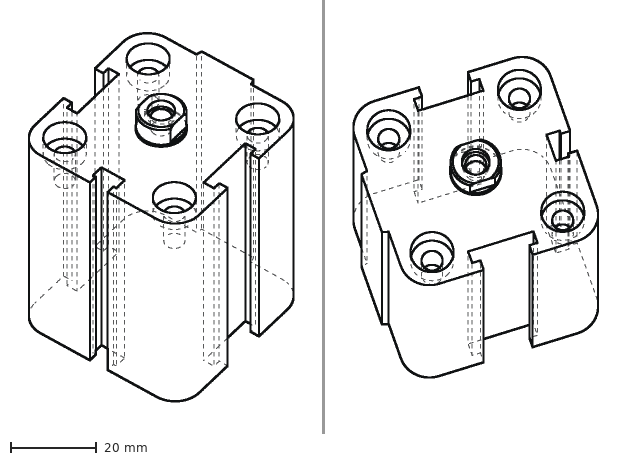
import cadquery as cq

overall_height = 65.5

width = 48.0
housing_height = 59.55
corner_radius = 7.0

rib_base_width = 16.0
rib_top_width = 15.2
rib_rise = 1.5

side_slot_mouth = 12.0
side_slot_inner = 16.0
side_slot_lip = 2.5
front_slot_mouth = 5.2
front_slot_inner = 6.8
front_slot_lip = 2.3
slot_depth = 5.5

mount_spacing = 32.0
counterbore_diameter = 10.0
counterbore_depth = 5.5
mount_hole_diameter = 4.9
mount_hole_depth = 14.5

rod_height = overall_height - housing_height
collar_diameter = 12.0
collar_straight_height = 0.25
collar_taper_height = 0.25
rod_diameter = 11.7
rod_chamfer = 0.5
flat_spacing = 10.0
flat_start = 1.0
rod_recess_diameter = 6.4
rod_recess_depth = 2.0
rod_hole_diameter = 4.9


def make_t_slot(mouth, inner, lip):
    """Full-height T-slot cutter for a slot that opens on the -Y side of the block."""
    outer_y = -width / 2
    throat = cq.Workplane("XY").box(mouth, slot_depth, housing_height, centered=(True, False, False))
    pocket = (
        cq.Workplane("XY")
        .box(inner, slot_depth - lip, housing_height, centered=(True, False, False))
        .translate((0, lip, 0))
    )
    return throat.union(pocket).translate((0, outer_y, 0))


def make_rib():
    """Rib on the +Y side, narrowing from the block to its outer face."""
    face_y = width / 2
    rib_y = face_y + rib_rise
    return (
        cq.Workplane("XY")
        .moveTo(-rib_base_width / 2, face_y)
        .lineTo(-rib_top_width / 2, rib_y)
        .lineTo(rib_top_width / 2, rib_y)
        .lineTo(rib_base_width / 2, face_y)
        .close()
        .extrude(housing_height)
    )


def make_housing():
    """Block with rib, T-slots and counterbored mounting holes."""
    housing = (
        cq.Workplane("XY")
        .box(width, width, housing_height, centered=(True, True, False))
        .edges("|Z")
        .fillet(corner_radius)
        .union(make_rib())
    )

    front_slot = make_t_slot(front_slot_mouth, front_slot_inner, front_slot_lip)
    side_slot = make_t_slot(side_slot_mouth, side_slot_inner, side_slot_lip)
    housing = housing.cut(front_slot)
    for angle in (90, -90):
        housing = housing.cut(side_slot.rotate((0, 0, 0), (0, 0, 1), angle))

    for diameter, depth in (
        (counterbore_diameter, counterbore_depth),
        (mount_hole_diameter, mount_hole_depth),
    ):
        holes = (
            cq.Workplane("XY")
            .workplane(offset=housing_height)
            .rect(mount_spacing, mount_spacing, forConstruction=True)
            .vertices()
            .circle(diameter / 2)
            .extrude(-depth)
        )
        housing = housing.cut(holes)
    return housing


def make_rod():
    """Rod end with a tapered collar, two wrench flats and a stepped axial hole."""
    rod_radius = rod_diameter / 2
    collar_radius = collar_diameter / 2
    collar_height = collar_straight_height + collar_taper_height
    rod = (
        cq.Workplane("XZ")
        .lineTo(collar_radius, 0)
        .lineTo(collar_radius, collar_straight_height)
        .lineTo(rod_radius, collar_height)
        .lineTo(rod_radius, rod_height - rod_chamfer)
        .lineTo(rod_radius - rod_chamfer, rod_height)
        .lineTo(0, rod_height)
        .close()
        .revolve(360, (0, 0, 0), (0, 1, 0))
    )

    base = cq.Workplane("XY").circle(collar_radius).extrude(flat_start)
    between_flats = cq.Workplane("XY").box(
        flat_spacing, collar_diameter, rod_height, centered=(True, True, False)
    )
    rod = rod.intersect(base.union(between_flats))

    rod = rod.faces(">Z").workplane(origin=(0, 0, rod_height)).cboreHole(
        rod_hole_diameter, rod_recess_diameter, rod_recess_depth
    )
    return rod.translate((0, 0, housing_height))


housing = make_housing()
rod = make_rod()
result = cq.Compound.makeCompound([housing.val(), rod.val()])